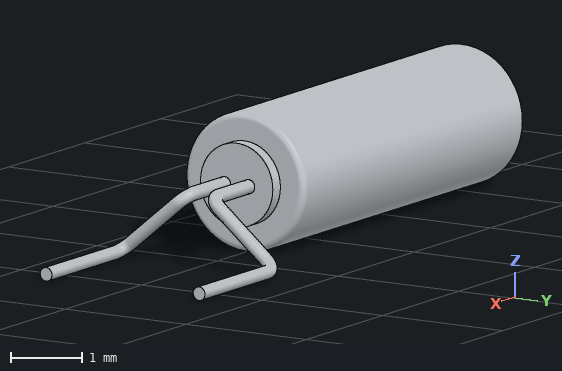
import cadquery as cq
import math

can_diameter = 2.0
can_length = 5.8
can_edge_radius = 0.1

collar_diameter = 1.2
collar_length = 0.2

lead_diameter = 0.2
lead_bend_radius = 0.2
inner_lead_spacing = 0.4
outer_lead_spacing = 2.54
crank_x = 7.0
overall_length = 9.0

can_radius = can_diameter / 2
collar_end_x = can_length + collar_length
lead_drop = can_radius - lead_diameter / 2


def make_can():
    can = cq.Workplane("YZ").circle(can_radius).extrude(can_length)
    return can.edges("%CIRCLE").fillet(can_edge_radius)


def make_collar():
    return cq.Workplane("YZ", origin=(can_length, 0, 0)).circle(collar_diameter / 2).extrude(collar_length)


def make_lead(side):
    """Lead on one side (+1 or -1 along Y), running out and down in one sloping plane."""
    inner_y = side * inner_lead_spacing / 2
    sideways = side * (outer_lead_spacing - inner_lead_spacing) / 2
    crank_length = math.hypot(sideways, lead_drop)

    slope = cq.Vector(0, sideways, -lead_drop)
    along_can = cq.Vector(1, 0, 0)
    start = cq.Vector(collar_end_x, inner_y, 0)
    lead_plane = cq.Plane(origin=start, xDir=along_can, normal=along_can.cross(slope))

    bend = lead_bend_radius
    crank_run = crank_x - collar_end_x
    lead_run = overall_length - collar_end_x
    path = (
        cq.Workplane(lead_plane)
        .lineTo(crank_run - bend, 0)
        .tangentArcPoint((crank_run, bend), relative=False)
        .lineTo(crank_run, crank_length - bend)
        .tangentArcPoint((crank_run + bend, crank_length), relative=False)
        .lineTo(lead_run, crank_length)
    )
    wire_section = cq.Workplane("YZ", origin=start.toTuple()).circle(lead_diameter / 2)
    return wire_section.sweep(path)


result = make_can().union(make_collar())
for side in (1, -1):
    result = result.union(make_lead(side))